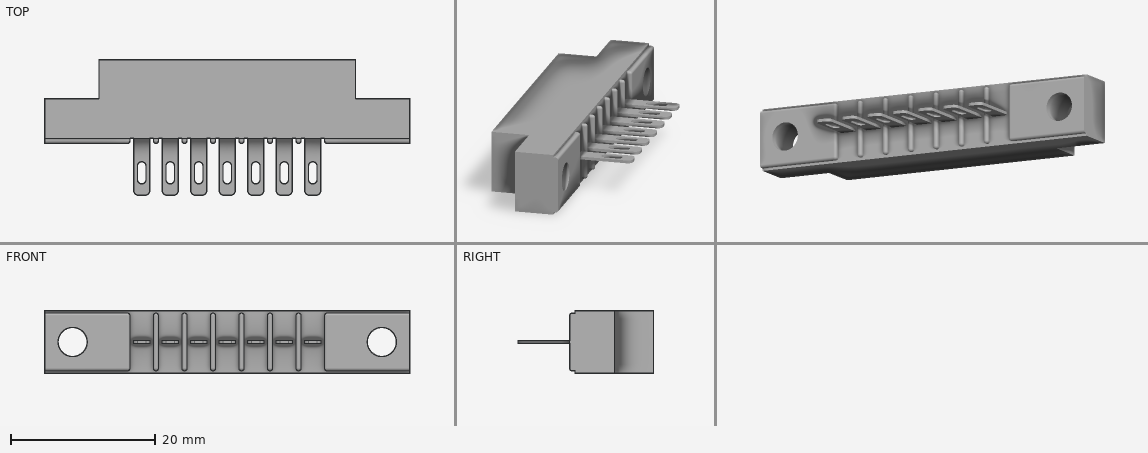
import cadquery as cq

length = 50.75
height = 8.75
flange_depth = 5.55
nose_length = 35.65
nose_depth = 5.45

terminal_count = 7
pitch = 3.95
terminal_width = 2.3
terminal_thickness = 0.4
terminal_length = 7.9
tip_radius = 0.75
eyelet_width = 1.15
eyelet_length = 3.05
eyelet_to_tip = 3.15

raise_depth = 0.7
edge_inset = 0.35
edge_radius = 0.35
raised_height = height - 2 * edge_inset
rib_width = 2 * edge_radius
pad_length = length / 2 - terminal_count * pitch / 2 + edge_radius

hole_diameter = 4.0
hole_spacing = 42.95

terminal_face = 0.0


def make_pad(side):
    """Mounting pad at one end, side = -1 or 1, rounded on every free edge but the outer ones."""
    pad = (
        cq.Workplane("XY")
        .box(pad_length, raise_depth, raised_height)
        .translate((side * (length - pad_length) / 2, terminal_face - raise_depth / 2, 0))
    )
    outer_face = ">X" if side > 0 else "<X"
    inner_face = "<X" if side > 0 else ">X"
    rounded_edges = f"(<Y or (|Y and {inner_face})) and (not {outer_face})"
    return pad.edges(rounded_edges).fillet(edge_radius)


def make_rib(x_center):
    """Separator rib with rounded ends and a full-round front that closes in a ball at each end."""
    stem_depth = raise_depth - edge_radius
    stem = (
        cq.Workplane("XZ", origin=(0, terminal_face, 0))
        .slot2D(raised_height, rib_width, 90)
        .extrude(stem_depth)
    )
    half_straight = raised_height / 2 - edge_radius
    round_front = (
        cq.Workplane("XZ", origin=(0, terminal_face - stem_depth, 0))
        .moveTo(0, -half_straight - edge_radius)
        .radiusArc((edge_radius, -half_straight), -edge_radius)
        .lineTo(edge_radius, half_straight)
        .radiusArc((0, half_straight + edge_radius), -edge_radius)
        .close()
        .revolve(360, (0, 0, 0), (0, 1, 0))
    )
    return stem.union(round_front).translate((x_center, 0, 0))


def make_housing():
    """Flange with a narrower nose behind it, pads, ribs and two mounting holes."""
    flange = cq.Workplane("XY").box(length, flange_depth, height)
    flange = flange.translate((0, terminal_face + flange_depth / 2, 0))
    nose = cq.Workplane("XY").box(nose_length, nose_depth, height)
    nose = nose.translate((0, terminal_face + flange_depth + nose_depth / 2, 0))
    housing = flange.union(nose)

    for side in (-1, 1):
        housing = housing.union(make_pad(side))
    for gap in range(terminal_count - 1):
        rib_x = (gap - (terminal_count - 2) / 2) * pitch
        housing = housing.union(make_rib(rib_x))

    holes = (
        cq.Workplane("XZ", origin=(0, terminal_face - raise_depth, 0))
        .pushPoints([(-hole_spacing / 2, 0), (hole_spacing / 2, 0)])
        .circle(hole_diameter / 2)
        .extrude(-(raise_depth + flange_depth))
    )
    return housing.cut(holes).solids()


def make_terminal(index):
    """Flat solder tab with rounded tip corners and an eyelet slot."""
    tab = cq.Workplane("XY").box(terminal_width, terminal_length, terminal_thickness)
    tab = tab.translate((0, terminal_face - terminal_length / 2, 0))
    tab = tab.edges("|Z and <Y").fillet(tip_radius)
    eyelet = (
        cq.Workplane("XY")
        .center(0, terminal_face - terminal_length + eyelet_to_tip)
        .slot2D(eyelet_length, eyelet_width, 90)
        .extrude(terminal_thickness, both=True)
    )
    x_center = (index - (terminal_count - 1) / 2) * pitch
    return tab.cut(eyelet).translate((x_center, 0, 0)).solids()


housing = make_housing()
terminals = [make_terminal(index) for index in range(terminal_count)]

result = cq.Compound.makeCompound([housing.val(), *[terminal.val() for terminal in terminals]])